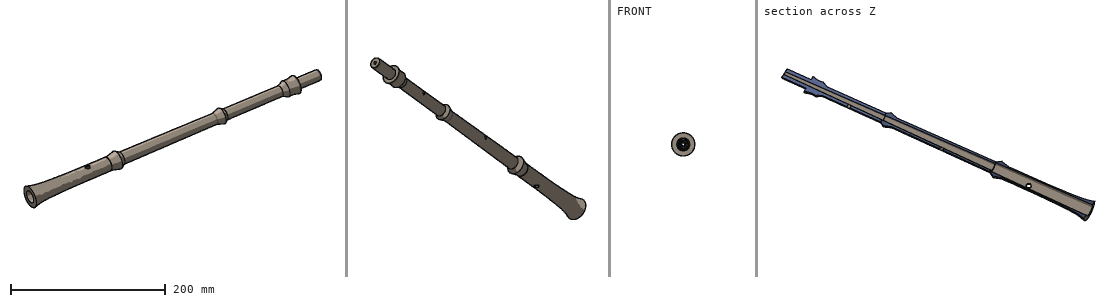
import cadquery as cq

TOTAL_LENGTH = 445.0
MOUTH_Y = -TOTAL_LENGTH / 2
TOP_Y = TOTAL_LENGTH / 2

UPPER_LENGTH = 145.0
TENON_DIAMETER = 15.0
TENON_LENGTH = 35.0
TENON_CHAMFER_DEPTH = 0.5
TENON_CHAMFER_LENGTH = 2.0
RIM_DIAMETER = 25.5
RIM_WIDTH = 1.5
COLLAR_WAIST_DIAMETER = 22.0
COLLAR_WAIST_DEPTH = 45.5
COLLAR_FOOT_DIAMETER = 22.5
COLLAR_END = 51.5
COVE_MIDDLE_DIAMETER = 18.2
COVE_END = 59.5
UPPER_NECK_DIAMETER = 15.0
UPPER_FOOT_DIAMETER = 15.5

MIDDLE_LENGTH = 159.5
MIDDLE_FACE_DIAMETER = 16.0
MIDDLE_BEAD_DIAMETER = 22.2
MIDDLE_BEAD_RISE = 5.0
MIDDLE_BEAD_END = 15.5
MIDDLE_NECK_DIAMETER = 15.5
MIDDLE_FOOT_DIAMETER = 17.5

BELL_BEAD_DIAMETER = 25.5
BELL_BEAD_RISE = 6.2
BELL_BEAD_END = 20.5
BELL_NECK_DIAMETER = 18.2
BELL_BODY_DIAMETER = 19.5
FLARE_DIAMETER = 22.0
FLARE_HEIGHT = 31.0
FLARE_MOUTH_DIRECTION = (1, -3)
MOUTH_DIAMETER = 30.3

BORE_TOP_RADIUS = 3.8 / 2
BORE_FOOT_RADIUS = 10.5 / 2
BELL_BORE_TOP_RADIUS = 14.0 / 2
BELL_BORE_MOUTH_RADIUS = 8.5

TONE_HOLE_DIAMETER = 4.0
UPPER_TONE_HOLE_Y = 125.0
MIDDLE_TONE_HOLE_Y = -10.5
VENT_DIAMETER = 6.5
VENT_Y = -134.0

UPPER_FOOT_Y = TOP_Y - UPPER_LENGTH
MIDDLE_FOOT_Y = UPPER_FOOT_Y - MIDDLE_LENGTH
TOOL_LENGTH = 44.5


def revolve_about_y(profile):
    return profile.close().revolve(360, (0, 0, 0), (0, 1, 0))


def bore_radius(y):
    fraction = (TOP_Y - y) / (TOP_Y - MIDDLE_FOOT_Y)
    return BORE_TOP_RADIUS + fraction * (BORE_FOOT_RADIUS - BORE_TOP_RADIUS)


def tone_hole(y):
    """Drill from the axis out through the -X wall."""
    return cq.Workplane("YZ").center(y, 0).circle(TONE_HOLE_DIAMETER / 2).extrude(-TOOL_LENGTH)


def make_upper_joint():
    rim_y = TOP_Y - TENON_LENGTH
    collar_waist_y = TOP_Y - COLLAR_WAIST_DEPTH
    collar_foot_y = TOP_Y - COLLAR_END
    shaft_y = TOP_Y - COVE_END
    tenon_radius = TENON_DIAMETER / 2
    rim_radius = RIM_DIAMETER / 2
    profile = (
        cq.Workplane("XY")
        .moveTo(bore_radius(TOP_Y), TOP_Y)
        .lineTo(tenon_radius - TENON_CHAMFER_DEPTH, TOP_Y)
        .lineTo(tenon_radius, TOP_Y - TENON_CHAMFER_LENGTH)
        .lineTo(tenon_radius, rim_y)
        .lineTo(rim_radius, rim_y)
        .lineTo(rim_radius, rim_y - RIM_WIDTH)
        .threePointArc((COLLAR_WAIST_DIAMETER / 2, collar_waist_y), (COLLAR_FOOT_DIAMETER / 2, collar_foot_y))
        .threePointArc(
            (COVE_MIDDLE_DIAMETER / 2, (collar_foot_y + shaft_y) / 2),
            (UPPER_NECK_DIAMETER / 2, shaft_y),
        )
        .lineTo(UPPER_FOOT_DIAMETER / 2, UPPER_FOOT_Y)
        .lineTo(bore_radius(UPPER_FOOT_Y), UPPER_FOOT_Y)
    )
    return revolve_about_y(profile).cut(tone_hole(UPPER_TONE_HOLE_Y))


def make_middle_joint():
    profile = (
        cq.Workplane("XY")
        .moveTo(bore_radius(UPPER_FOOT_Y), UPPER_FOOT_Y)
        .lineTo(MIDDLE_FACE_DIAMETER / 2, UPPER_FOOT_Y)
        .lineTo(MIDDLE_BEAD_DIAMETER / 2, UPPER_FOOT_Y - MIDDLE_BEAD_RISE)
        .lineTo(MIDDLE_NECK_DIAMETER / 2, UPPER_FOOT_Y - MIDDLE_BEAD_END)
        .lineTo(MIDDLE_FOOT_DIAMETER / 2, MIDDLE_FOOT_Y)
        .lineTo(bore_radius(MIDDLE_FOOT_Y), MIDDLE_FOOT_Y)
    )
    return revolve_about_y(profile).cut(tone_hole(MIDDLE_TONE_HOLE_Y))


def make_bell():
    bead_y = MIDDLE_FOOT_Y - BELL_BEAD_RISE
    neck_y = MIDDLE_FOOT_Y - BELL_BEAD_END
    flare_points = [
        (FLARE_DIAMETER / 2, MOUTH_Y + FLARE_HEIGHT),
        (MOUTH_DIAMETER / 2, MOUTH_Y),
    ]
    profile = (
        cq.Workplane("XY")
        .moveTo(BELL_BORE_TOP_RADIUS, MIDDLE_FOOT_Y)
        .lineTo(MIDDLE_FOOT_DIAMETER / 2, MIDDLE_FOOT_Y)
        .lineTo(BELL_BEAD_DIAMETER / 2, bead_y)
        .lineTo(BELL_NECK_DIAMETER / 2, neck_y)
        .lineTo(BELL_BODY_DIAMETER / 2, neck_y)
        .spline(flare_points, tangents=[(0, -1), FLARE_MOUTH_DIRECTION], includeCurrent=True)
        .lineTo(BELL_BORE_MOUTH_RADIUS, MOUTH_Y)
    )
    vent = cq.Workplane("XY").center(0, VENT_Y).circle(VENT_DIAMETER / 2).extrude(TOOL_LENGTH / 2, both=True)
    return revolve_about_y(profile).cut(vent)


upper_joint = make_upper_joint()
middle_joint = make_middle_joint()
bell = make_bell()

result = cq.Compound.makeCompound([upper_joint.val(), middle_joint.val(), bell.val()])